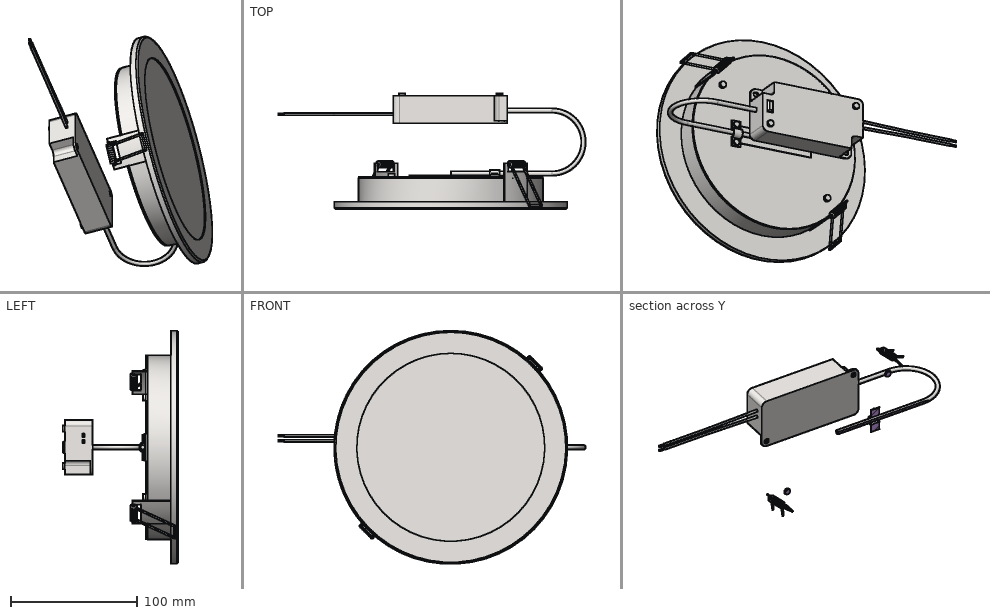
import cadquery as cq


rim_diameter = 185.0
rim_face_diameter = 182.3
rim_depth = 6.0
rim_bevel = (rim_diameter - rim_face_diameter) / 2
lens_diameter = 149.0
lens_recess = 1.0
housing_radius = 73.1
housing_depth = 24.4
lid_step = 0.2
back_depth = 25.8

clip_angles = (-45, 135)
bracket_outer_radius = 74.0
bracket_thickness = 1.0
bracket_half_width = 12.7
bracket_top = 36.5
window_half_width = 9.0
window_bottom = 29.7
coil_diameter = 5.5
coil_length = 15.5
coil_turns = 9
coil_depth = 35.5
coil_pin_diameter = 2.0
spring_wire = 1.5
leg_spacing = 13.2
leg_tip_radius = 94.8
leg_tip_depth = 3.2
bracket_screw_reach = 61.2
bracket_screw_offset = -5.4
bracket_screw_height = 2.5

screw_head_diameter = 5.0
strip_end = 33.0
strip_half_width = 7.3
strip_top = 26.8
clamp_x = 34.9
clamp_width = 7.8
clamp_half_length = 10.7
clamp_foot = 1.5
saddle_radius = 4.1
saddle_thickness = 1.0
saddle_drop = 1.2
clamp_screw_z = 7.5
clamp_screw_top = 28.5

box_left = -45.5
box_right = 44.9
box_front = 68.0
box_back = 90.0
box_half_height = 21.7
box_corner = 4.6
notch_length = 10.5
notch_height = 11.2
notch_corner = 3.7
tab_thickness = 2.0
tab_hole = 4.1
box_screw_x = 38.5
box_screw_z = 14.9
box_screw_top = 92.0
pad_length = 9.8
pad_bevel = 1.2

cable_diameter = 3.7
cable_start = 0.0
cable_low = 28.3
cable_high = 78.2
cable_right = 107.0
wire_diameter = 2.0
wire_core = 1.5
wire_depth = 75.3
wire_middle = 7.0
wire_gap_outside = 4.0
wire_gap_at_box = 5.9
wire_bend = -92.6
wire_sleeve_end = -132.0
wire_core_end = -136.7

embed = 0.7


def y_cylinder(diameter, y_start, y_end, x=0.0, z=0.0):
    """Round bar along +Y between two depths."""
    axis = cq.Vector(0, 1, 0)
    bar = cq.Solid.makeCylinder(diameter / 2, y_end - y_start, cq.Vector(x, y_start, z), axis)
    return cq.Workplane(obj=bar)


def rod(start, end, diameter):
    """Round bar between two points."""
    start_point = cq.Vector(*start)
    direction = cq.Vector(*end) - start_point
    bar = cq.Solid.makeCylinder(diameter / 2, direction.Length, start_point, direction)
    return cq.Workplane(obj=bar)


def block(x_range, y_range, z_range):
    """Axis-aligned box between pairs of limits."""
    sizes = [high - low for low, high in (x_range, y_range, z_range)]
    corner = (x_range[0], y_range[0], z_range[0])
    return cq.Workplane("XY").box(*sizes, centered=False).translate(corner)


def make_lamp_body():
    """Bevelled rim with a shallow lens recess, the housing drum and its lid."""
    rim = y_cylinder(rim_diameter, 0, rim_depth).faces("<Y").chamfer(rim_bevel)
    rim = rim.cut(y_cylinder(lens_diameter, 0, lens_recess))
    drum = y_cylinder(2 * housing_radius, rim_depth - embed, housing_depth)
    lid = y_cylinder(2 * (housing_radius - lid_step), housing_depth - embed, back_depth)
    return rim.union(drum).union(lid)


def make_coil():
    """Spring coil along Z as a roll of touching turns, carried on a pin."""
    pitch = coil_length / coil_turns
    half_length = coil_length / 2
    groove_radius = (coil_diameter - pitch) / 2
    profile = cq.Workplane("XY").moveTo(0, -half_length).lineTo(groove_radius, -half_length)
    for turn in range(coil_turns):
        turn_start = -half_length + turn * pitch
        crest = (coil_diameter / 2, turn_start + pitch / 2)
        profile = profile.threePointArc(crest, (groove_radius, turn_start + pitch))
    roll = profile.lineTo(0, half_length).close().revolve(360, (0, 0, 0), (0, 1, 0))
    roll = roll.rotate((0, 0, 0), (1, 0, 0), 90)
    pin_end = window_half_width + embed
    return roll.union(rod((0, 0, -pin_end), (0, 0, pin_end), coil_pin_diameter))


def make_clip():
    """Bracket, coil, spring loop and screw of one clip, lying along +X."""
    bracket = y_cylinder(2 * bracket_outer_radius, rim_depth - embed, bracket_top)
    bracket = bracket.cut(
        y_cylinder(2 * (bracket_outer_radius - bracket_thickness), rim_depth - embed, bracket_top)
    )
    outer_limits = (0, bracket_outer_radius)
    bracket = bracket.intersect(
        block(outer_limits, (0, bracket_top), (-bracket_half_width, bracket_half_width))
    )
    bracket = bracket.cut(
        block(outer_limits, (window_bottom, bracket_top), (-window_half_width, window_half_width))
    )

    coil_radius = bracket_outer_radius - bracket_thickness / 2
    clip = bracket.union(make_coil().translate((coil_radius, coil_depth, 0)))

    tips = []
    for side in (-1, 1):
        leg_z = side * leg_spacing / 2
        tip = (leg_tip_radius, leg_tip_depth, leg_z)
        clip = clip.union(rod((coil_radius, coil_depth, leg_z), tip, spring_wire))
        clip = clip.union(cq.Workplane("XY").sphere(spring_wire / 2).translate(tip))
        tips.append(tip)
    clip = clip.union(rod(*tips, spring_wire))

    screw = y_cylinder(
        screw_head_diameter,
        back_depth - embed,
        back_depth + bracket_screw_height,
        bracket_screw_reach,
        bracket_screw_offset,
    )
    return clip.union(screw)


def make_cable_clamp():
    """Strip on the lid and the screwed strap that arches over the cable."""
    strip = block(
        (-strip_end, strip_end), (back_depth - embed, strip_top), (-strip_half_width, strip_half_width)
    )
    strap_x = (clamp_x - clamp_width / 2, clamp_x + clamp_width / 2)
    feet = block(
        strap_x, (back_depth - embed, back_depth + clamp_foot), (-clamp_half_length, clamp_half_length)
    )
    saddle_start = (strap_x[0], cable_low - saddle_drop, 0)
    saddle_end = (strap_x[1], cable_low - saddle_drop, 0)
    saddle = rod(saddle_start, saddle_end, 2 * saddle_radius)
    saddle = saddle.intersect(
        block(strap_x, (back_depth - embed, box_front), (-saddle_radius, saddle_radius))
    )
    opening = rod(saddle_start, saddle_end, 2 * (saddle_radius - saddle_thickness))
    clamp = strip.union(feet.union(saddle).cut(opening))
    for side in (-1, 1):
        clamp = clamp.union(
            y_cylinder(screw_head_diameter, back_depth, clamp_screw_top, clamp_x, side * clamp_screw_z)
        )
    return clamp


def make_driver_box():
    """Driver case with mounting tabs in two opposite corners and fixings on its back."""
    box = block((box_left, box_right), (box_front, box_back), (-box_half_height, box_half_height))
    box = box.edges("|Y").fillet(box_corner)

    for end_x, side in ((box_left, -1), (box_right, 1)):
        inner_x = end_x - side * notch_length
        inner_z = side * (box_half_height - notch_height)
        notch = block(
            (min(end_x, inner_x), max(end_x, inner_x)),
            (box_front + tab_thickness, box_back),
            (min(side * box_half_height, inner_z), max(side * box_half_height, inner_z)),
        )
        inner_edge = cq.selectors.NearestToPointSelector((inner_x, (box_front + box_back) / 2, inner_z))
        notch = notch.edges("|Y").edges(inner_edge).fillet(notch_corner)
        hole_x = end_x - side * box_corner
        hole_z = side * (box_half_height - box_corner)
        box = box.cut(notch).cut(y_cylinder(tab_hole, box_front, box_back, hole_x, hole_z))

    for side in (-1, 1):
        screw = y_cylinder(
            screw_head_diameter,
            box_back - embed,
            box_screw_top,
            side * box_screw_x,
            -side * box_screw_z,
        )
        box = box.union(screw)

    pad = block(
        (box_screw_x - screw_head_diameter / 2, box_screw_x + screw_head_diameter / 2),
        (box_back - embed, box_screw_top),
        (-pad_length / 2, pad_length / 2),
    )
    return box.union(pad.faces(">Y").chamfer(pad_bevel))


def make_cable():
    """Cable that leaves the lid, loops round and enters the driver box."""
    loop_radius = (cable_high - cable_low) / 2
    loop_x = cable_right - cable_diameter / 2 - loop_radius
    path = (
        cq.Workplane("XY")
        .moveTo(cable_start, cable_low)
        .lineTo(loop_x, cable_low)
        .threePointArc((loop_x + loop_radius, cable_low + loop_radius), (loop_x, cable_high))
        .lineTo(box_right - embed, cable_high)
    )
    section = cq.Workplane("YZ", origin=(cable_start, cable_low, 0)).circle(cable_diameter / 2)
    return section.sweep(path)


def make_supply_wires():
    """Two sleeved wires with bare ends leaving the -X side of the box."""
    wires = cq.Workplane("XY")
    for side in (-1, 1):
        outside_z = wire_middle + side * wire_gap_outside / 2
        box_z = wire_middle + side * wire_gap_at_box / 2
        bend = (wire_bend, wire_depth, outside_z)
        sleeve_end = (wire_sleeve_end, wire_depth, outside_z)
        core_end = (wire_core_end, wire_depth, outside_z)
        wires = wires.union(rod((box_left + embed, wire_depth, box_z), bend, wire_diameter))
        wires = wires.union(cq.Workplane("XY").sphere(wire_diameter / 2).translate(bend))
        wires = wires.union(rod(bend, sleeve_end, wire_diameter))
        wires = wires.union(rod(sleeve_end, core_end, wire_core))
    return wires


result = make_lamp_body()
for angle in clip_angles:
    result = result.union(make_clip().rotate((0, 0, 0), (0, 1, 0), angle))
for piece in (make_cable_clamp(), make_driver_box(), make_cable(), make_supply_wires()):
    result = result.union(piece)